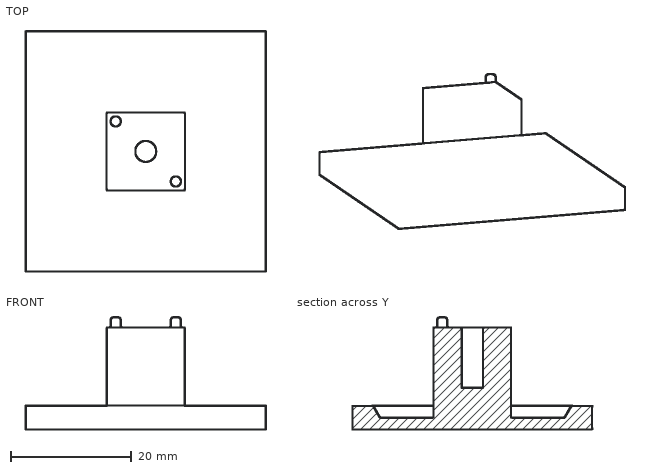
import cadquery as cq
import math

edge_radius = 0.2

plate_side = 40.0
plate_height = 4.0

tray_rim_side = 33.0
tray_depth = 2.0
tray_wall_angle = 30.0
tray_floor_side = tray_rim_side - 2 * tray_depth * math.tan(math.radians(tray_wall_angle))
tray_floor_z = plate_height - tray_depth

post_side = 13.0
post_top_z = 17.0

hole_diameter = 3.5
hole_depth = 10.0

pin_diameter = 1.7
pin_height = 1.7
pin_offset = 5.0
pin_tip_radius = 0.5
pin_foot_radius = edge_radius


def make_plate():
    """Square plate with a tapered tray sunk into its top."""
    plate = cq.Workplane("XY").box(plate_side, plate_side, plate_height, centered=(True, True, False))
    tray = (
        cq.Workplane("XY")
        .workplane(offset=tray_floor_z)
        .rect(tray_floor_side, tray_floor_side)
        .workplane(offset=tray_depth)
        .rect(tray_rim_side, tray_rim_side)
        .loft(ruled=True)
    )
    return plate.cut(tray)


def make_post():
    """Square post rising from the tray floor."""
    return (
        cq.Workplane("XY")
        .workplane(offset=tray_floor_z)
        .rect(post_side, post_side)
        .extrude(post_top_z - tray_floor_z)
    )


def drill_hole(body):
    """Blind round hole in the post top, with a rounded mouth."""
    hole = (
        cq.Workplane("XY")
        .workplane(offset=post_top_z)
        .circle(hole_diameter / 2)
        .extrude(-hole_depth)
    )
    return body.cut(hole).faces(">Z").edges("%CIRCLE").fillet(edge_radius)


def make_pin(x, y):
    """Round pin with a rounded tip and a concave fillet at its foot."""
    radius = pin_diameter / 2
    tip_flat_radius = radius - pin_tip_radius
    tip_z = post_top_z + pin_height
    profile = (
        cq.Workplane("XZ")
        .moveTo(0, post_top_z)
        .lineTo(radius + pin_foot_radius, post_top_z)
        .radiusArc((radius, post_top_z + pin_foot_radius), pin_foot_radius)
        .lineTo(radius, tip_z - pin_tip_radius)
        .radiusArc((tip_flat_radius, tip_z), -pin_tip_radius)
        .lineTo(0, tip_z)
        .close()
    )
    return profile.revolve(360, (0, 0, 0), (0, 1, 0)).translate((x, y, 0))


rounded_body = make_plate().union(make_post()).edges().fillet(edge_radius)
result = drill_hole(rounded_body)
for side in (-1, 1):
    result = result.union(make_pin(side * pin_offset, -side * pin_offset))